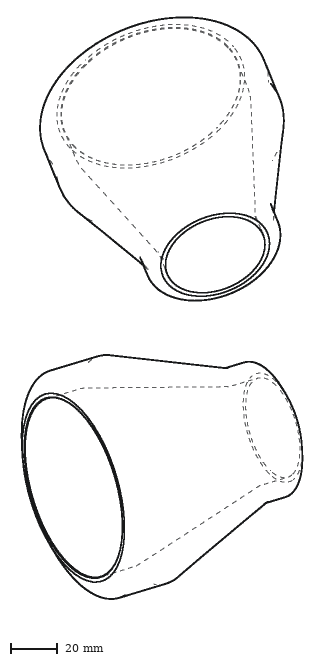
import cadquery as cq
import math

length = 100.0
large_diameter = 101.6
large_bore = 79.6
large_end_length = 30.0
large_bore_depth = 16.8
small_diameter = 60.4
small_bore = 44.3
small_end_length = 14.9

land_width = 2.0
bevel_angle = 30.0

outer_bend_radius = 1.0
mouth_chamfer = 0.3

large_radius = large_diameter / 2
small_radius = small_diameter / 2
large_bore_radius = large_bore / 2
small_bore_radius = small_bore / 2
cone_end = length - small_end_length


def bevel_length(outer_radius, bore_radius):
    """Axial length of the bevel between the land and the outer wall."""
    bevel_height = outer_radius - bore_radius - land_width
    return bevel_height * math.tan(math.radians(bevel_angle))


large_bevel = bevel_length(large_radius, large_bore_radius)
small_bevel = bevel_length(small_radius, small_bore_radius)


def revolve_about_x(section):
    """Turn a closed (x, radius) section into a solid about the X axis."""
    return cq.Workplane("XY").polyline(section).close().revolve(360, (0, 0, 0), (1, 0, 0))


outer_section = [
    (0, 0),
    (0, large_bore_radius + land_width),
    (large_bevel, large_radius),
    (large_end_length, large_radius),
    (cone_end, small_radius),
    (length - small_bevel, small_radius),
    (length, small_bore_radius + land_width),
    (length, 0),
]

bore_section = [
    (0, 0),
    (0, large_bore_radius + mouth_chamfer),
    (mouth_chamfer, large_bore_radius),
    (large_bore_depth, large_bore_radius),
    (cone_end, small_bore_radius),
    (length, small_bore_radius),
    (length, 0),
]

outer_body = revolve_about_x(outer_section)
end_circles = outer_body.faces("<X or >X").edges()
bends = outer_body.edges("%CIRCLE").vals()
for end_circle in end_circles.vals():
    bends = [bend for bend in bends if not bend.isSame(end_circle)]
outer_body = outer_body.newObject(bends).fillet(outer_bend_radius)

result = outer_body.cut(revolve_about_x(bore_section))